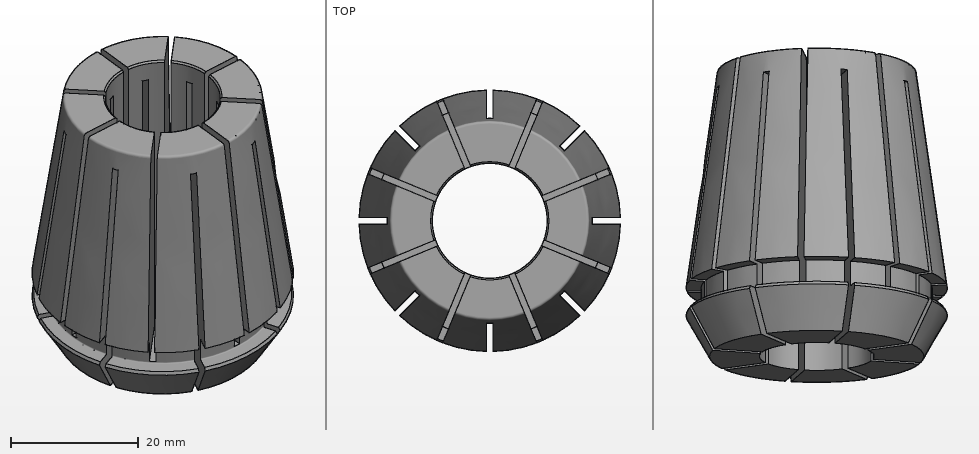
import cadquery as cq
import math

height = 46.0
collar_edge_z = 6.6
collar_top_z = 7.1
body_bottom_z = 11.05

max_diameter = 41.0
max_radius = max_diameter / 2
collar_bottom_radius = 16.8
groove_radius = 18.12
bore_diameter = 18.0
bore_radius = bore_diameter / 2

body_taper = 8.0
collar_edge_setback = 0.28
rim_rounding = 0.45
bore_chamfer = 0.28
groove_root_rounding = 0.2

slots_per_set = 8
slot_width = 1.0
bottom_slot_end_z = 42.5
top_slot_end_z = 7.45

edge_margin = 0.05

slot_pitch = 360 / slots_per_set
body_top_radius = max_radius - (height - body_bottom_z) * math.tan(math.radians(body_taper))
collar_top_radius = max_radius - collar_edge_setback


def make_blank():
    """Revolved collet: reverse-tapered collar, extraction groove, tapered body and bore."""
    outline = [
        (bore_radius, 0),
        (collar_bottom_radius, 0),
        (max_radius, collar_edge_z),
        (collar_top_radius, collar_top_z),
        (groove_radius, collar_top_z),
        (groove_radius, body_bottom_z),
        (max_radius, body_bottom_z),
        (body_top_radius, height),
        (bore_radius, height),
    ]
    profile = cq.Workplane("XZ").polyline(outline).close()
    return profile.revolve(360, (0, 0, 0), (0, 1, 0))


def circular_edge(radius, z):
    """Selector for the circular edge of the given radius at height z."""
    reach = radius + edge_margin
    return cq.selectors.BoxSelector(
        (-reach, -reach, z - edge_margin),
        (reach, reach, z + edge_margin),
        boundingbox=True,
    )


def soften_edges(blank):
    """Round the top rim and the groove root, and chamfer the bore mouth."""
    softened = blank.edges(circular_edge(bore_radius, height)).chamfer(bore_chamfer)
    softened = softened.edges(circular_edge(groove_radius, collar_top_z)).fillet(groove_root_rounding)
    top_edges = softened.faces(">Z").edges()
    return top_edges.edges(cq.selectors.RadiusNthSelector(-1)).fillet(rim_rounding)


def cut_slots(body, start_z, end_z, first_angle):
    """Cut evenly spaced radial slots that run from the axis out through the wall."""
    slot_length = max_radius + slot_width
    for index in range(slots_per_set):
        slot = (
            cq.Workplane("XY", origin=(slot_length / 2, 0, start_z))
            .rect(slot_length, slot_width)
            .extrude(end_z - start_z)
            .rotate((0, 0, 0), (0, 0, 1), first_angle + index * slot_pitch)
        )
        body = body.cut(slot)
    return body


collet = soften_edges(make_blank())
collet = cut_slots(collet, 0, bottom_slot_end_z, 0)
result = cut_slots(collet, top_slot_end_z, height, slot_pitch / 2)